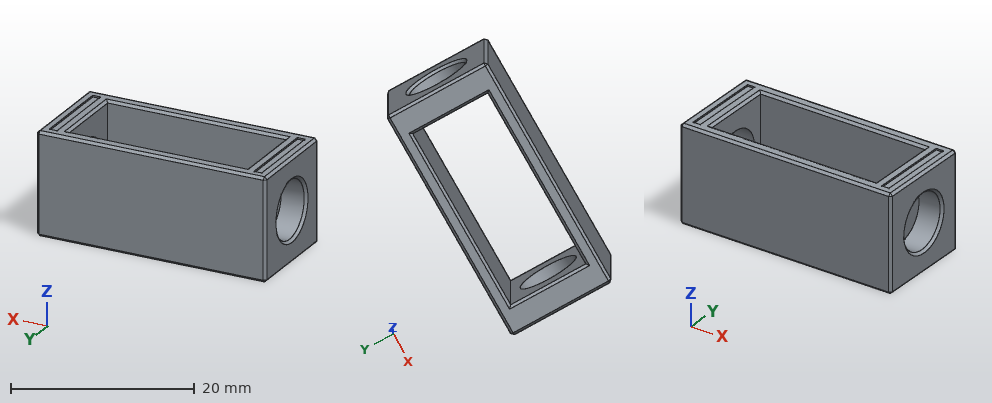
import cadquery as cq

length = 28.12
side = 12.5
edge_chamfer = 0.3

window_length = 21.88
window_width = 9.35

hole_diameter = 7.0

recess_length = 10.35
recess_width = 0.95
recess_depth = 0.2
recess_inset = 1.05


def make_block():
    return cq.Workplane("XY").box(length, side, side).edges().chamfer(edge_chamfer)


def make_window():
    """Straight cutter flared at the top and bottom to chamfer both rims."""
    rim_length = window_length + 2 * edge_chamfer
    rim_width = window_width + 2 * edge_chamfer
    top_flare = (
        cq.Workplane("XY", origin=(0, 0, side / 2 - edge_chamfer))
        .rect(window_length, window_width)
        .workplane(offset=edge_chamfer)
        .rect(rim_length, rim_width)
        .loft(ruled=True)
    )
    shaft = cq.Workplane("XY").box(window_length, window_width, side)
    return shaft.union(top_flare).union(top_flare.mirror("XY"))


def make_end_holes():
    """Revolved cutter along X, widened at the end faces to chamfer the rims."""
    radius = hole_diameter / 2
    rim_radius = radius + edge_chamfer
    end = length / 2
    profile = [
        (-end, 0),
        (-end, rim_radius),
        (-end + edge_chamfer, radius),
        (end - edge_chamfer, radius),
        (end, rim_radius),
        (end, 0),
    ]
    return cq.Workplane("XY").polyline(profile).close().revolve(360, (0, 0), (1, 0))


def make_recesses():
    center_x = length / 2 - recess_inset - recess_width / 2
    return (
        cq.Workplane("XY", origin=(0, 0, side / 2))
        .pushPoints([(-center_x, 0), (center_x, 0)])
        .rect(recess_width, recess_length)
        .extrude(-recess_depth)
    )


result = make_block().cut(make_window()).cut(make_end_holes()).cut(make_recesses())